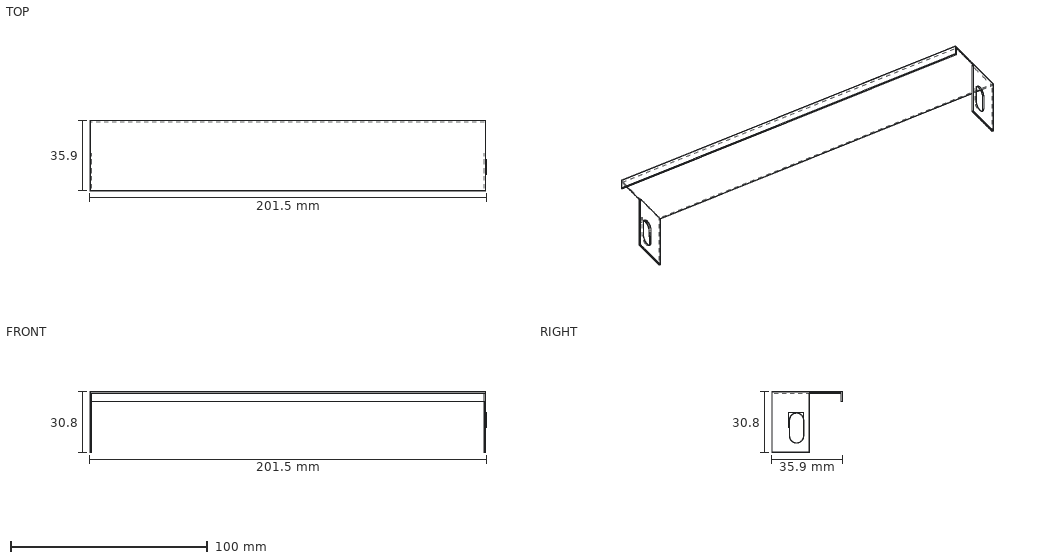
import cadquery as cq

length = 201.5
depth = 35.9
height = 30.8
sheet = 0.8

lip_height = 5.0
tab_width = 19.0

slot_width = 7.0
slot_height = 15.1
slot_from_front = 12.5
slot_top_drop = 10.9
slot_y = slot_from_front - depth / 2
slot_z = -slot_top_drop - slot_height / 2

pad_size = 7.7
pad_thickness = 0.5
pad_from_front = 12.0
pad_top_drop = 10.5
pad_y = pad_from_front - depth / 2
pad_z = -pad_top_drop - pad_size / 2

channel_length = length - pad_thickness
left_x = -length / 2
right_x = left_x + channel_length
front_y = -depth / 2
rear_y = depth / 2


def plate(size_x, size_y, size_z, x, y):
    """Box whose lower X and Y corner is at (x, y) and whose top is at Z = 0."""
    box = cq.Workplane("XY").box(size_x, size_y, size_z, centered=False)
    return box.translate((x, y, -size_z))


def slot_cutter():
    """Vertical slot running through both tabs."""
    profile = cq.Workplane("YZ", origin=(left_x, 0, 0)).center(slot_y, slot_z)
    return profile.slot2D(slot_height, slot_width, 90).extrude(length)


def slot_pad():
    """Square pad on the outer face of the +X tab, opened later by the slot."""
    profile = cq.Workplane("YZ", origin=(right_x - sheet, 0, 0)).center(pad_y, pad_z)
    return profile.rect(pad_size, pad_size).extrude(sheet + pad_thickness)


result = plate(channel_length, depth, sheet, left_x, front_y)
result = result.union(plate(channel_length, sheet, lip_height, left_x, rear_y - sheet))

for tab_x in (left_x, right_x - sheet):
    result = result.union(plate(sheet, tab_width, height, tab_x, front_y))

result = result.union(slot_pad()).cut(slot_cutter())